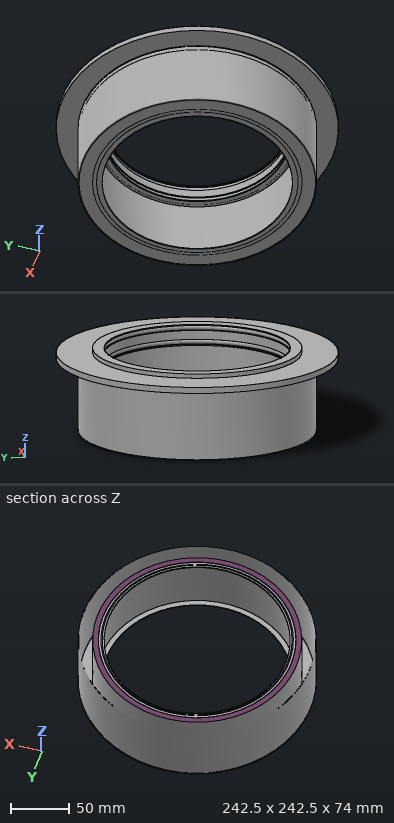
import cadquery as cq

total_height = 74.0

flange_diameter = 242.5
flange_top = total_height - 4.0
flange_bottom = total_height - 9.2
shell_diameter = 205.0
shell_wall = 0.85
cavity_diameter = shell_diameter - 2 * shell_wall
floor_hole_diameter = 163.5

liner_diameter = 180.0
collar_bore = 160.0
pipe_bore = 173.2
collar_height = 18.7
shoulder_bottom = total_height - 13.3

seal_outer_diameter = 168.5
seal_section = (seal_outer_diameter - collar_bore) / 2
groove_diameter = 169.5
groove_height = seal_section
groove_lip = 1.0
seal_levels = [
    total_height - groove_lip - groove_height / 2,
    total_height - collar_height + groove_lip + groove_height / 2,
]


def disc(diameter, bottom, top):
    """Solid cylinder about the Z axis."""
    return cq.Workplane("XY", origin=(0, 0, bottom)).circle(diameter / 2).extrude(top - bottom)


def make_casing():
    shell = disc(shell_diameter, 0, flange_top).faces("<Z").edges().fillet(shell_wall)
    flange = disc(flange_diameter, flange_bottom, flange_top)
    cavity = disc(cavity_diameter, shell_wall, flange_bottom)
    floor_hole = disc(floor_hole_diameter, 0, flange_bottom)
    liner_hole = disc(liner_diameter, shell_wall, flange_top)
    return shell.union(flange).cut(cavity).cut(floor_hole).cut(liner_hole)


def make_liner():
    pipe = disc(liner_diameter, shell_wall, total_height)
    shoulder = disc(cavity_diameter, shoulder_bottom, flange_bottom)
    liner = pipe.union(shoulder)
    liner = liner.cut(disc(collar_bore, 0, total_height))
    liner = liner.cut(disc(pipe_bore, 0, total_height - collar_height))
    for level in seal_levels:
        groove = disc(groove_diameter, level - groove_height / 2, level + groove_height / 2)
        liner = liner.cut(groove)
    return liner


def make_seal_ring(level):
    """O-ring of round section whose inner side is flush with the collar bore."""
    section_center = (collar_bore + seal_section) / 2
    section = cq.Workplane("XZ").center(section_center, level).circle(seal_section / 2)
    return section.revolve(360, (-section_center, 0, 0), (-section_center, 1, 0))


casing = make_casing()
liner = make_liner()
seal_rings = [make_seal_ring(level).val() for level in seal_levels]

result = cq.Compound.makeCompound([casing.val(), liner.val(), *seal_rings])